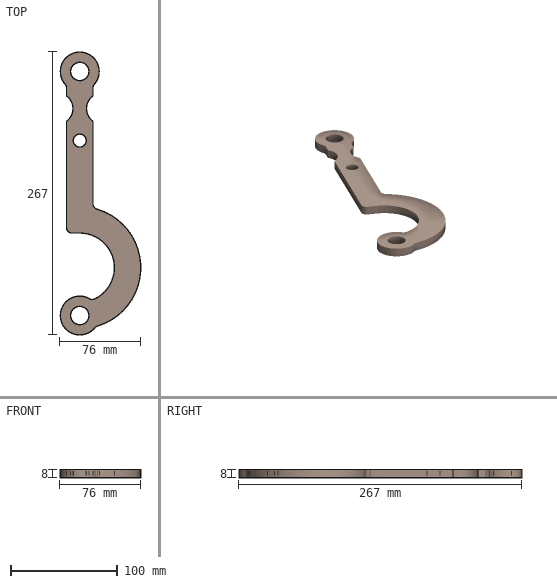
import cadquery as cq
import math

length = 267.0
thickness = 8.0
eye_radius = 18.5
eye_hole_diameter = 17.0
bar_width = 25.0
hook_mid_radius = 45.0
waist_from_eye = 35.0
waist_width = 13.0
waist_cut_radius = 15.0
pin_from_eye = 65.1
pin_hole_diameter = 12.0
corner_radius = 5.0

lower_eye_y = 2 * eye_radius - length
hook_y = lower_eye_y + hook_mid_radius
hook_outer_radius = hook_mid_radius + bar_width / 2
hook_inner_radius = hook_mid_radius - bar_width / 2
bar_end_y = hook_y + hook_inner_radius


def disc(x, y, radius):
    """Full-thickness round plate centred at (x, y)."""
    return cq.Workplane("XY").center(x, y).circle(radius).extrude(thickness)


def make_bar():
    """Straight bar from the upper eye down to the hook opening."""
    return (
        cq.Workplane("XY")
        .center(0, bar_end_y / 2)
        .rect(bar_width, -bar_end_y)
        .extrude(thickness)
    )


def make_hook():
    """Half ring on the +X side, bar_width wide."""
    return (
        cq.Workplane("XY")
        .moveTo(0, hook_y + hook_outer_radius)
        .threePointArc((hook_outer_radius, hook_y), (0, hook_y - hook_outer_radius))
        .lineTo(0, hook_y - hook_inner_radius)
        .threePointArc((hook_inner_radius, hook_y), (0, hook_y + hook_inner_radius))
        .close()
        .extrude(thickness)
    )


def lower_eye_joint(hook_radius):
    """Point where the lower eye meets a hook arc of the given radius."""
    rise = (eye_radius**2 - hook_mid_radius**2 - hook_radius**2) / (2 * hook_mid_radius)
    return math.sqrt(hook_radius**2 - rise**2), hook_y + rise


def round_corner(body, x, y):
    """Round the upright edge nearest to (x, y)."""
    nearest = cq.selectors.NearestToPointSelector((x, y, thickness / 2))
    return body.edges("|Z").edges(nearest).fillet(corner_radius)


def cut_waist(body):
    """Narrow the bar with a round bite from each side."""
    cut_x = waist_width / 2 + waist_cut_radius
    for side in (-1, 1):
        body = body.cut(disc(side * cut_x, -waist_from_eye, waist_cut_radius))
    return body


body = make_bar().union(make_hook())
for eye_y in (0, lower_eye_y):
    body = body.union(disc(0, eye_y, eye_radius))

half_width = bar_width / 2
hook_joint_y = hook_y + math.sqrt(hook_outer_radius**2 - half_width**2)
eye_joint_y = -math.sqrt(eye_radius**2 - half_width**2)
corners = [
    (-half_width, bar_end_y),
    (half_width, hook_joint_y),
    (-half_width, eye_joint_y),
    (half_width, eye_joint_y),
    lower_eye_joint(hook_outer_radius),
    lower_eye_joint(hook_inner_radius),
]
for corner_x, corner_y in corners:
    body = round_corner(body, corner_x, corner_y)

body = cut_waist(body)
for eye_y in (0, lower_eye_y):
    body = body.cut(disc(0, eye_y, eye_hole_diameter / 2))
result = body.cut(disc(0, -pin_from_eye, pin_hole_diameter / 2))